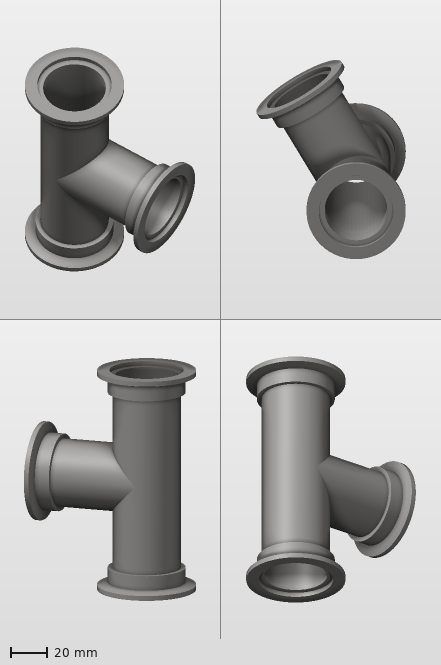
import cadquery as cq

run_length = 124.9
branch_reach = run_length / 2
tube_radius = 19.0
bore_radius = 17.4

flange_radius = 27.5
collar_radius = 21.6
recess_radius = 20.6
flange_thickness = 2.7
cone_end_depth = 4.4
collar_end_depth = 12.6
recess_depth = 2.6
socket_depth = 5.6


def make_tee():
    """Equal tee of tube whose three ends stop at the ferrule shoulders."""
    run_half = run_length / 2 - socket_depth
    branch_length = branch_reach - socket_depth

    def joined_cylinders(radius):
        run = cq.Workplane("XY").circle(radius).extrude(run_half, both=True)
        branch = cq.Workplane("YZ").circle(radius).extrude(branch_length)
        return run.union(branch)

    return joined_cylinders(tube_radius).cut(joined_cylinders(bore_radius))


def make_ferrule():
    """Clamp ferrule on the Z axis, with its flange face on Z = 0 and its collar below."""
    profile = [
        (recess_radius, 0),
        (flange_radius, 0),
        (flange_radius, -flange_thickness),
        (collar_radius, -cone_end_depth),
        (collar_radius, -collar_end_depth),
        (tube_radius, -collar_end_depth),
        (tube_radius, -socket_depth),
        (bore_radius, -socket_depth),
        (bore_radius, -recess_depth),
        (recess_radius, -recess_depth),
    ]
    return cq.Workplane("XZ").polyline(profile).close().revolve(360, (0, 0), (0, 1))


tee = make_tee()
ferrule_ends = [
    (0, run_length / 2),
    (180, run_length / 2),
    (90, branch_reach),
]
ferrules = []
for tilt, reach in ferrule_ends:
    ferrule = make_ferrule().translate((0, 0, reach)).rotate((0, 0, 0), (0, 1, 0), tilt)
    ferrules.append(ferrule.val())

result = cq.Compound.makeCompound([tee.val(), *ferrules])